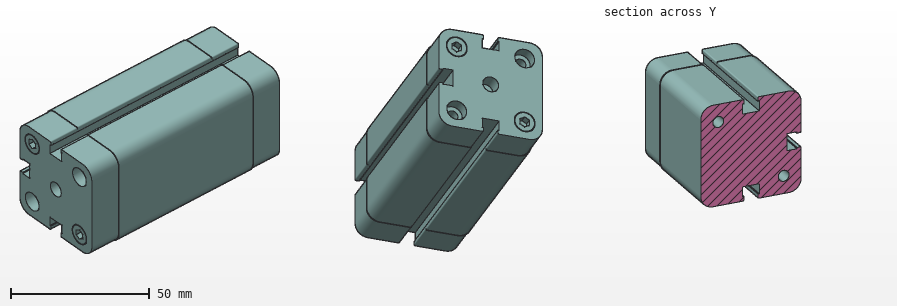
import cadquery as cq
TOTAL_LENGTH = 95.0
ROD_LENGTH = 5.5
BODY_LENGTH = TOTAL_LENGTH - ROD_LENGTH
CAP_LENGTH = 12.75
TUBE_LENGTH = BODY_LENGTH - 2 * CAP_LENGTH

TUBE_WIDTH = 40.1
CAP_WIDTH = 39.65
CORNER_RADIUS = 5.0

SLOT_MOUTH_WIDTH = 5.5
SLOT_INNER_WIDTH = 6.5
SLOT_FLOOR_HEIGHT = 14.4
SLOT_LIP_HEIGHT = 18.2
SLOT_SIDE_ANGLES = (0, 90, 180)
MOUTH_RADIUS = 0.5

CORNER_OFFSET = 13.0
THROUGH_DIAMETER = 4.13
COUNTERBORE_DIAMETER = 7.5
COUNTERBORE_DEPTH = 4.6
SCREW_POCKET_DIAMETER = 8.0
SCREW_HEAD_DIAMETER = 7.5
SCREW_HEAD_HEIGHT = 4.0
HEX_CORNER_DIAMETER = 4.13
HEX_TURN = 30
HEX_DEPTH = 3.0
CENTER_HOLE_DIAMETER = 6.0
CENTER_HOLE_DEPTH = 6.0

ROD_DIAMETER = 10.0
ROD_TIP_LENGTH = 1.1
ROD_TIP_INSET = 0.6
FLATS_WIDTH = 8.0
FLATS_LENGTH = 3.5


def end_plane(y):
    """Plane across the axis at the given Y, with local x = X, local y = Z and normal -Y."""
    return cq.Workplane("XZ", origin=(0, y, 0))


def square_bar(width, y_start, length):
    """Square bar along Y with rounded long edges."""
    return (
        end_plane(y_start)
        .rect(width, width)
        .extrude(-length)
        .edges("|Y")
        .fillet(CORNER_RADIUS)
    )


def bore(x, z, diameter, depth):
    """Round cylinder reaching from the front face to the given depth."""
    return end_plane(0).center(x, z).circle(diameter / 2).extrude(-depth)


def slot_cutter(width, y_start, length):
    """T-slot cutter for the bottom side of a square bar of the given width."""
    surface = width / 2
    mouth = SLOT_MOUTH_WIDTH / 2
    inner = SLOT_INNER_WIDTH / 2
    flare = mouth + MOUTH_RADIUS
    return (
        end_plane(y_start)
        .moveTo(inner, -SLOT_FLOOR_HEIGHT)
        .lineTo(inner, -SLOT_LIP_HEIGHT)
        .lineTo(mouth, -SLOT_LIP_HEIGHT)
        .lineTo(mouth, MOUTH_RADIUS - surface)
        .radiusArc((flare, -surface), -MOUTH_RADIUS)
        .lineTo(-flare, -surface)
        .radiusArc((-mouth, MOUTH_RADIUS - surface), -MOUTH_RADIUS)
        .lineTo(-mouth, -SLOT_LIP_HEIGHT)
        .lineTo(-inner, -SLOT_LIP_HEIGHT)
        .lineTo(-inner, -SLOT_FLOOR_HEIGHT)
        .close()
        .extrude(-length)
    )


def slotted_bar(width, y_start, length):
    """Square bar with a sensor slot in its bottom, top and -X sides."""
    bar = square_bar(width, y_start, length)
    cutter = slot_cutter(width, y_start, length)
    for angle in SLOT_SIDE_ANGLES:
        bar = bar.cut(cutter.rotate((0, 0, 0), (0, 1, 0), angle))
    return bar


def make_body():
    """Tube between two end caps."""
    front_cap = slotted_bar(CAP_WIDTH, 0, CAP_LENGTH)
    tube = slotted_bar(TUBE_WIDTH, CAP_LENGTH, TUBE_LENGTH)
    rear_cap = slotted_bar(CAP_WIDTH, CAP_LENGTH + TUBE_LENGTH, CAP_LENGTH)
    return front_cap.union(tube).union(rear_cap)


def cut_mounting_hole(body, x, z):
    """Counterbored hole through the whole length."""
    body = body.cut(bore(x, z, THROUGH_DIAMETER, BODY_LENGTH))
    return body.cut(bore(x, z, COUNTERBORE_DIAMETER, COUNTERBORE_DEPTH))


def add_screw(body, x, z):
    """Socket head screw sunk flush in its pocket."""
    pocket = bore(x, z, SCREW_POCKET_DIAMETER, SCREW_HEAD_HEIGHT)
    head = bore(x, z, SCREW_HEAD_DIAMETER, SCREW_HEAD_HEIGHT)
    socket = (
        end_plane(0)
        .polygon(6, HEX_CORNER_DIAMETER)
        .extrude(-HEX_DEPTH)
        .rotate((0, 0, 0), (0, 1, 0), HEX_TURN)
        .translate((x, 0, z))
    )
    return body.cut(pocket.cut(head)).cut(socket)


def make_rod():
    """Rod end with a rounded tip; the flats run out into the rod along 45 degree slopes."""
    radius = ROD_DIAMETER / 2
    tip_radius = radius - ROD_TIP_INSET
    rod = (
        cq.Workplane("XY")
        .moveTo(0, BODY_LENGTH)
        .lineTo(radius, BODY_LENGTH)
        .lineTo(radius, TOTAL_LENGTH - ROD_TIP_LENGTH)
        .tangentArcPoint((tip_radius, TOTAL_LENGTH), relative=False)
        .lineTo(0, TOTAL_LENGTH)
        .close()
        .revolve(360, (0, 0, 0), (0, 1, 0))
    )
    flat = FLATS_WIDTH / 2
    flat_start = TOTAL_LENGTH - FLATS_LENGTH
    flat_depth = radius - flat
    side_cut = (
        cq.Workplane("XY")
        .moveTo(flat, TOTAL_LENGTH)
        .lineTo(flat, flat_start)
        .lineTo(radius, flat_start - flat_depth)
        .lineTo(radius, TOTAL_LENGTH)
        .close()
        .extrude(radius, both=True)
    )
    return rod.cut(side_cut).cut(side_cut.mirror("YZ"))


result = make_body()
for side in (-1, 1):
    result = cut_mounting_hole(result, side * CORNER_OFFSET, side * CORNER_OFFSET)
    result = add_screw(result, side * CORNER_OFFSET, -side * CORNER_OFFSET)
result = result.cut(bore(0, 0, CENTER_HOLE_DIAMETER, CENTER_HOLE_DEPTH))
result = result.union(make_rod())